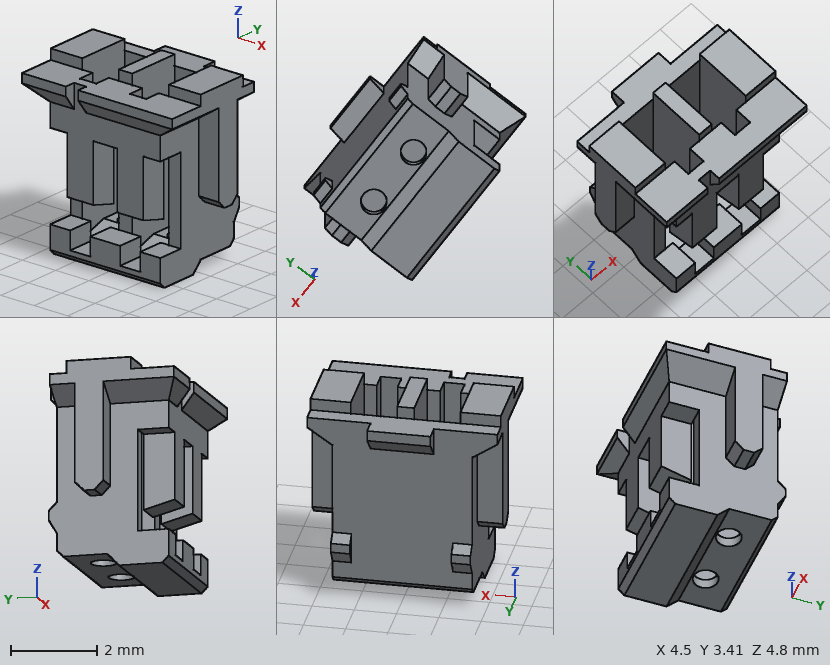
import cadquery as cq


total_height = 4.8
body_width = 3.3
body_depth = 2.7
rim_width = 4.5
rim_top = 4.51
rim_bottom = 4.26
rim_slope_bottom = 3.855
rim_front_overhang = 0.3
front_edge_chamfer = 0.155
rear_edge_chamfer = 0.15
rear_step = 0.295
foot_depth = 1.2

contact_pitch = 1.5
contact_x = [-contact_pitch / 2, contact_pitch / 2]
cavity_width = 1.095
cavity_front = 0.75
cavity_depth = 1.545
cavity_back = cavity_front + cavity_depth
cavity_floor = 0.55
slot_floor = 0.295
pin_hole_diameter = 0.6
ramp_run = 0.78
ramp_back = cavity_front + ramp_run

window_bottom = 0.79
window_top = 3.2
finger_width = 0.785
finger_tip_front = 1.605
finger_tip_back = 1.4
finger_groove_width = 0.49
finger_groove_depth = 0.46
base_slot_width = 0.6

key_notch_width = 0.365
key_notch_x = -contact_pitch / 2
back_tab_width = 1.5
back_tab_overhang = 0.405

rib_front = 1.405
rib_width = 0.69
rib_bottom = 1.695
rib_chamfer = 0.21

bump_width = 0.45
bump_height = 0.195
bump_bottom = 0.855
bump_flat_bottom = 1.175
bump_flat_top = 1.4


def block(x_center, width, y_front, y_back, z_bottom, z_top):
    """Box centred on x_center, with its other sides given as positions."""
    return (
        cq.Workplane("XY")
        .box(width, y_back - y_front, z_top - z_bottom, centered=(True, False, False))
        .translate((x_center, y_front, z_bottom))
    )


def side_profile(x_center, width, points):
    """Closed (Y, Z) outline extruded along X, centred on x_center."""
    return (
        cq.Workplane("YZ")
        .polyline(points)
        .close()
        .extrude(width / 2, both=True)
        .translate((x_center, 0, 0))
    )


def make_body():
    return side_profile(0, body_width, [
        (0, front_edge_chamfer),
        (front_edge_chamfer, 0),
        (foot_depth, 0),
        (foot_depth + rear_step, rear_step),
        (body_depth - rear_edge_chamfer, rear_step),
        (body_depth, rear_step + rear_edge_chamfer),
        (body_depth, rim_top),
        (0, rim_top),
    ])


def make_rim():
    """Plate overhanging the front and sides, tapering down to the body; flush at the back."""
    plate_depth = body_depth + rim_front_overhang
    plate = block(0, rim_width, -rim_front_overhang, body_depth, rim_bottom, rim_top)
    taper = (
        cq.Workplane("XY", origin=(0, body_depth / 2, rim_slope_bottom))
        .rect(body_width, body_depth)
        .workplane(offset=rim_bottom - rim_slope_bottom)
        .center(0, -rim_front_overhang / 2)
        .rect(rim_width, plate_depth)
        .loft(ruled=True)
    )
    notch = block(key_notch_x, key_notch_width, -rim_front_overhang, 0, rim_slope_bottom, rim_top)
    return plate.union(taper).cut(notch)


def make_back_tab():
    return side_profile(0, back_tab_width, [
        (cavity_back, rim_top),
        (cavity_back, rim_slope_bottom),
        (body_depth, rim_slope_bottom),
        (body_depth + back_tab_overhang, rim_bottom),
        (body_depth + back_tab_overhang, rim_top),
    ])


def make_ribs():
    """Vertical side ribs as wide as the rim; their lower front and back edges are chamfered."""
    return (
        block(0, rim_width, rib_front, rib_front + rib_width, rib_bottom, rim_top)
        .faces("<Z")
        .edges("|X")
        .chamfer(rib_chamfer)
    )


def make_bump(side):
    bump_x = side * (body_width - bump_width) / 2
    return side_profile(bump_x, bump_width, [
        (body_depth - bump_height, bump_bottom),
        (body_depth, bump_bottom),
        (body_depth + bump_height, bump_flat_bottom),
        (body_depth + bump_height, bump_flat_top),
        (body_depth, bump_flat_top + bump_height),
        (body_depth - bump_height, bump_flat_top + bump_height),
    ])


def make_cavity(x):
    """Well open at the top; the floor falls towards the front, down to the base slot."""
    well = side_profile(x, cavity_width, [
        (cavity_front, slot_floor),
        (ramp_back, cavity_floor),
        (cavity_back, cavity_floor),
        (cavity_back, total_height),
        (cavity_front, total_height),
    ])
    slot = block(x, base_slot_width, 0, cavity_front, slot_floor, window_bottom)
    hole_y = ramp_back + pin_hole_diameter / 2
    hole = (
        cq.Workplane("XY", origin=(x, hole_y, 0))
        .circle(pin_hole_diameter / 2)
        .extrude(cavity_floor)
    )
    return well.union(slot).union(hole)


def make_finger(x):
    """Finger hanging from the window's upper edge, with a tip that rises towards the front."""
    return side_profile(x, finger_width, [
        (0, finger_tip_front),
        (cavity_front, finger_tip_back),
        (cavity_front, window_top),
        (0, window_top),
    ])


def make_finger_groove(x):
    """Blind groove above a finger, open to the top and the cavity, down to the window's upper edge."""
    groove_front = cavity_front - finger_groove_depth
    return block(x, finger_groove_width, groove_front, cavity_front, window_top, rim_top)


result = make_body().union(make_rim()).union(make_back_tab()).union(make_ribs())
result = result.union(block(0, rim_width, cavity_front, cavity_back, rim_top, total_height))
for side in (-1, 1):
    result = result.union(make_bump(side))

result = result.cut(block(0, body_width, 0, cavity_front, window_bottom, window_top))
for x in contact_x:
    result = result.cut(make_cavity(x))
    result = result.union(make_finger(x))
    result = result.cut(make_finger_groove(x))